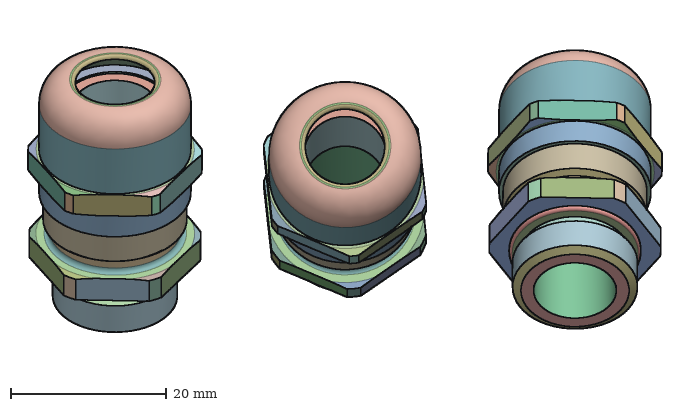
import cadquery as cq
import math


TOTAL_HEIGHT = 35.05
ACROSS_FLATS = 20.0
HEX_CHAMFER_DROP = 0.2

BORE_RADIUS = 5.33
THREAD_RADIUS = 8.05
THREAD_TOP = 4.8
THREAD_CHAMFER_HEIGHT = 0.6
RELIEF_RADIUS = 6.97
RELIEF_BOTTOM = 5.35
BODY_HEX_BOTTOM = 7.08
BODY_HEX_TOP = 10.55
BODY_HEX_CORNER_RADIUS = 11.08
BODY_HEX_FACE_RADIUS = 10.25
NECK_RADIUS = 8.5
NECK_FILLET = 0.65
NECK_TOP = 12.23
SLEEVE_RADIUS = 9.3
SLEEVE_BOTTOM = 12.83
SLEEVE_TOP = 27.35
SOCKET_RADIUS = 7.7
SOCKET_FLOOR = 19.28

GASKET_BOTTOM = 6.52
GASKET_RADIUS = 8.5
GASKET_EDGE_RADIUS = 0.4

CAP_RADIUS = 9.8
CAP_BOTTOM = 17.1
DOME_RADIUS = 3.93
CAP_HEX_BOTTOM = 20.57
CAP_HEX_TOP = 23.95
CAP_HEX_CORNER_RADIUS = 11.2
CAP_HEX_FACE_RADIUS = 10.2
LIP_INNER_RADIUS = 5.1
LIP_ROUNDING = 0.53

SEAL_RADIUS = 6.85
SEAL_TOP = 31.02
CAGE_TOP = 31.3

SIN_45 = math.sin(math.radians(45))
LIP_CENTER_RADIUS = LIP_INNER_RADIUS + LIP_ROUNDING
CONE_START_HEIGHT = TOTAL_HEIGHT - LIP_ROUNDING


def cone_height(radius):
    """Height of the cap's inner cone at a given radius."""
    return CONE_START_HEIGHT - (radius - LIP_INNER_RADIUS)


def cone_radius(height):
    """Radius of the cap's inner cone at a given height."""
    return LIP_INNER_RADIUS + (CONE_START_HEIGHT - height)


def revolve(profile):
    """Turn a closed (radius, height) profile once around the Z axis."""
    return profile.close().revolve(360, (0, 0, 0), (0, 1, 0))


def hexagon(bottom, top, corner_radius, face_radius, chamfer_bottom):
    """Hexagon with flats facing +-X, turned corners and chamfered faces."""
    prism = (
        cq.Workplane("XY", origin=(0, 0, bottom))
        .polygon(6, ACROSS_FLATS, circumscribed=True)
        .extrude(top - bottom)
    )
    turned = cq.Workplane("XZ").moveTo(0, bottom)
    if chamfer_bottom:
        turned = turned.lineTo(face_radius, bottom).lineTo(corner_radius, bottom + HEX_CHAMFER_DROP)
    else:
        turned = turned.lineTo(corner_radius, bottom)
    turned = (
        turned.lineTo(corner_radius, top - HEX_CHAMFER_DROP)
        .lineTo(face_radius, top)
        .lineTo(0, top)
    )
    return prism.intersect(revolve(turned))


def make_body():
    """Turned tube with a threaded foot, a hexagon and an upper sleeve that takes the cap."""
    fillet_mid_radius = NECK_RADIUS + NECK_FILLET * (1 - SIN_45)
    fillet_mid_height = BODY_HEX_TOP + NECK_FILLET * (1 - SIN_45)
    turned = revolve(
        cq.Workplane("XZ")
        .moveTo(BORE_RADIUS, 0)
        .lineTo(RELIEF_RADIUS, 0)
        .lineTo(THREAD_RADIUS, THREAD_CHAMFER_HEIGHT)
        .lineTo(THREAD_RADIUS, THREAD_TOP)
        .lineTo(RELIEF_RADIUS, RELIEF_BOTTOM)
        .lineTo(RELIEF_RADIUS, BODY_HEX_BOTTOM)
        .lineTo(NECK_RADIUS + NECK_FILLET, BODY_HEX_BOTTOM)
        .lineTo(NECK_RADIUS + NECK_FILLET, BODY_HEX_TOP)
        .threePointArc(
            (fillet_mid_radius, fillet_mid_height),
            (NECK_RADIUS, BODY_HEX_TOP + NECK_FILLET),
        )
        .lineTo(NECK_RADIUS, NECK_TOP)
        .lineTo(SLEEVE_RADIUS, SLEEVE_BOTTOM)
        .lineTo(SLEEVE_RADIUS, SLEEVE_TOP)
        .lineTo(SOCKET_RADIUS, SLEEVE_TOP)
        .lineTo(SOCKET_RADIUS, SOCKET_FLOOR)
        .lineTo(BORE_RADIUS, SOCKET_FLOOR)
    )
    nut = hexagon(
        BODY_HEX_BOTTOM, BODY_HEX_TOP, BODY_HEX_CORNER_RADIUS, BODY_HEX_FACE_RADIUS, chamfer_bottom=False
    )
    bore = cq.Workplane("XY").circle(BORE_RADIUS).extrude(TOTAL_HEIGHT)
    return turned.union(nut.cut(bore))


def make_gasket():
    """Flat ring with a bulging edge, pressed against the underside of the body hexagon."""
    edge_center_radius = GASKET_RADIUS - GASKET_EDGE_RADIUS
    edge_center_height = GASKET_BOTTOM + GASKET_EDGE_RADIUS
    top_rise = BODY_HEX_BOTTOM - edge_center_height
    top_radius = edge_center_radius + math.sqrt(GASKET_EDGE_RADIUS**2 - top_rise**2)
    return revolve(
        cq.Workplane("XZ")
        .moveTo(RELIEF_RADIUS, GASKET_BOTTOM)
        .lineTo(edge_center_radius, GASKET_BOTTOM)
        .threePointArc((GASKET_RADIUS, edge_center_height), (top_radius, BODY_HEX_BOTTOM))
        .lineTo(RELIEF_RADIUS, BODY_HEX_BOTTOM)
    )


def make_cage():
    """Ring around the seal: its head fills the cap cone and its stem sits in the body socket."""
    return revolve(
        cq.Workplane("XZ")
        .moveTo(SEAL_RADIUS, SOCKET_FLOOR)
        .lineTo(SOCKET_RADIUS, SOCKET_FLOOR)
        .lineTo(SOCKET_RADIUS, SLEEVE_TOP)
        .lineTo(SLEEVE_RADIUS, SLEEVE_TOP)
        .lineTo(SLEEVE_RADIUS, cone_height(SLEEVE_RADIUS))
        .lineTo(cone_radius(CAGE_TOP), CAGE_TOP)
        .lineTo(SEAL_RADIUS, CAGE_TOP)
    )


def make_seal():
    """Plain sleeve inside the cage, standing on the socket floor and continuing the body bore."""
    return (
        cq.Workplane("XY", origin=(0, 0, SOCKET_FLOOR))
        .circle(SEAL_RADIUS)
        .circle(BORE_RADIUS)
        .extrude(SEAL_TOP - SOCKET_FLOOR)
    )


def make_cap():
    """Domed nut with a rounded lip, an inner cone and a bore that fits the body sleeve."""
    dome_center_radius = CAP_RADIUS - DOME_RADIUS
    dome_bottom = TOTAL_HEIGHT - DOME_RADIUS
    dome_mid = (dome_center_radius + DOME_RADIUS * SIN_45, dome_bottom + DOME_RADIUS * SIN_45)
    lip_mid = (LIP_CENTER_RADIUS - LIP_ROUNDING * SIN_45, CONE_START_HEIGHT + LIP_ROUNDING * SIN_45)
    shell = revolve(
        cq.Workplane("XZ")
        .moveTo(SLEEVE_RADIUS, CAP_BOTTOM)
        .lineTo(CAP_RADIUS, CAP_BOTTOM)
        .lineTo(CAP_RADIUS, dome_bottom)
        .threePointArc(dome_mid, (dome_center_radius, TOTAL_HEIGHT))
        .lineTo(LIP_CENTER_RADIUS, TOTAL_HEIGHT)
        .threePointArc(lip_mid, (LIP_INNER_RADIUS, CONE_START_HEIGHT))
        .lineTo(SLEEVE_RADIUS, cone_height(SLEEVE_RADIUS))
    )
    nut = hexagon(
        CAP_HEX_BOTTOM, CAP_HEX_TOP, CAP_HEX_CORNER_RADIUS, CAP_HEX_FACE_RADIUS, chamfer_bottom=True
    )
    bore = cq.Workplane("XY").circle(SLEEVE_RADIUS).extrude(TOTAL_HEIGHT)
    return shell.union(nut.cut(bore))


body = make_body()
gasket = make_gasket()
cage = make_cage()
seal = make_seal()
cap = make_cap()

result = cq.Compound.makeCompound([body.val(), gasket.val(), cage.val(), seal.val(), cap.val()])